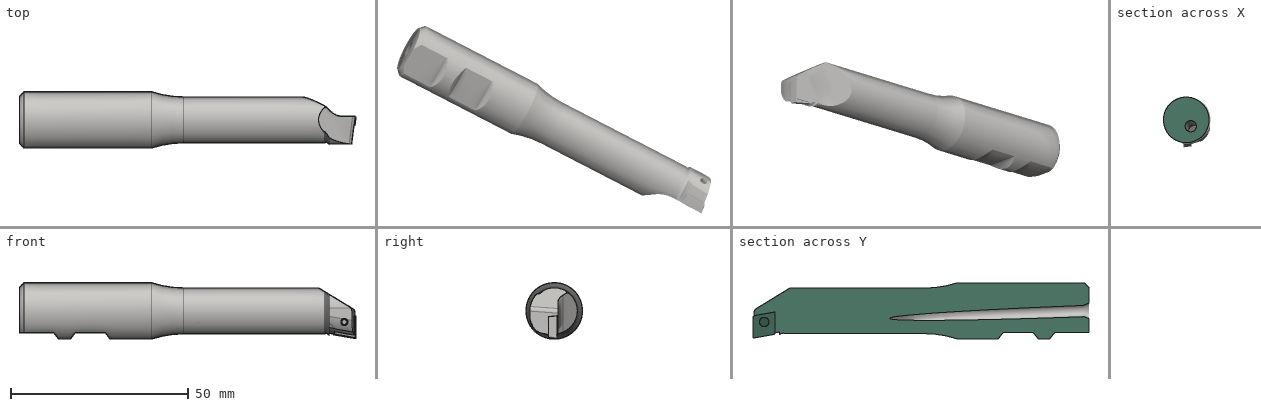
import cadquery as cq
import math


length = 95.0
shank_diameter = 16.0
shank_radius = shank_diameter / 2
shank_end = 37.2
end_chamfer = 1.3
neck_radius = 13.0 / 2
neck_start = 46.4

flat_z = -6.2
flat_ramp = 1.4
rear_flat_end = 9.7
front_flat_start = 15.8
front_flat_end = 24.2

bore_diameter = 3.0
mouth_diameter = 4.3
mouth_depth = 1.5
bore_end = cq.Vector(88.35, -2.4, -3.3)

relief_start = 86.2
relief_middle = 86.8
head_start = 87.4
relief_radius = 6.4
relief_middle_radius = 6.5
side_flat_y = -6.8
side_flat_depth = 0.05
head_radius = side_flat_depth - side_flat_y
flare_radius = 5.7
flare_x = 90.25
flare_y = -1.3
flare_z = -0.6
slope_start = 84.3
slope_angle = 31.5
nose_radius = 1.5
seat_margin = 0.3
underside_angle = 15.0

rake_y = 1.0
ramp_foot = 87.0
ramp_angle = 36.0
ramp_blend_radius = 6.2

insert_y = 0.8
insert_side = 6.5
insert_thickness = 2.4
insert_relief = 7.0
insert_corner_angle = 80.0
insert_tip_radius = 0.2
tip_z = -7.9
edge_tilt = 90 - insert_corner_angle

screw_x = 91.7
screw_z = -3.1
thread_diameter = 2.0
body_diameter = 2.5
head_diameter = 3.4
screw_end_y = -5.9
screw_end_chamfer = 0.3

clear = 19.0


def tan(angle):
    return math.tan(math.radians(angle))


def sin(angle):
    return math.sin(math.radians(angle))


def cos(angle):
    return math.cos(math.radians(angle))


def make_turned_blank():
    """Shank, concave transition, neck, relief and round head, turned about X."""
    drop = shank_radius - neck_radius
    run = neck_start - shank_end
    blend_radius = (run**2 + drop**2) / (2 * drop)
    mid_x = (shank_end + neck_start) / 2
    mid_radius = neck_radius + blend_radius - math.sqrt(blend_radius**2 - (run / 2)**2)
    return (
        cq.Workplane("XY")
        .lineTo(0, shank_radius - end_chamfer)
        .lineTo(end_chamfer, shank_radius)
        .lineTo(shank_end, shank_radius)
        .threePointArc((mid_x, mid_radius), (neck_start, neck_radius))
        .lineTo(relief_start, neck_radius)
        .lineTo(relief_start, relief_radius)
        .lineTo(relief_middle, relief_middle_radius)
        .lineTo(head_start, head_radius)
        .lineTo(length, head_radius)
        .lineTo(length, 0)
        .close()
        .revolve(360, (0, 0, 0), (1, 0, 0))
    )


def make_head_flare():
    """Round belly of the lower head, sinking toward the tip along the insert's lower edge."""
    axis = cq.Vector(cos(edge_tilt), 0, -sin(edge_tilt))
    start = cq.Vector(flare_x, flare_y, flare_z) - axis * clear
    belly = cq.Workplane(cq.Solid.makeCylinder(flare_radius, 2 * clear, start, axis))
    lower_head = cq.Workplane("XY").box(
        length - head_start, 2 * clear, clear, centered=(False, True, False)
    ).translate((head_start, 0, -clear))
    return belly.intersect(lower_head)


def make_head_envelope():
    """Everything behind the end face, under the slope and above the underside."""
    end_x = length - seat_margin
    end_z = neck_radius - (end_x - slope_start) * tan(slope_angle)
    top_x = slope_start - clear / tan(slope_angle)
    envelope = (
        cq.Workplane("XZ")
        .polyline([
            (-clear, -clear),
            (length + clear, -clear),
            (length + clear, end_z - clear * tan(slope_angle)),
            (top_x, neck_radius + clear),
            (-clear, neck_radius + clear),
        ])
        .close()
        .extrude(clear, both=True)
    )
    beyond_end = (
        cq.Workplane("XY")
        .box(clear * 2, clear * 4, clear * 4, centered=(False, True, True))
        .rotate((0, 0, 0), (0, 0, 1), -insert_relief)
        .translate((end_x, insert_y, 0))
    )
    envelope = envelope.cut(beyond_end)
    nose_edge = cq.selectors.NearestToPointSelector((end_x, insert_y, end_z))
    envelope = envelope.edges(nose_edge).fillet(nose_radius)
    below_head = (
        cq.Workplane("XY")
        .box(clear * 2, clear * 2, clear, centered=(True, True, False))
        .translate((0, 0, -clear))
        .rotate((0, 0, 0), (1, 0, 0), -underside_angle)
        .rotate((0, 0, 0), (0, 1, 0), edge_tilt)
        .translate((length, insert_y, tip_z + seat_margin))
    )
    underside_zone = (
        cq.Workplane("XY")
        .box(clear, clear * 2, clear * 2, centered=(False, True, True))
        .translate((head_start, 0, 0))
    )
    return envelope.cut(below_head.intersect(underside_zone))


def make_side_flat_cutter():
    """Material outside the head's upright flat on the -Y side."""
    return (
        cq.Workplane("XY")
        .box(clear, clear, 2 * clear, centered=(False, False, True))
        .translate((head_start, side_flat_y - clear, 0))
    )


def make_chip_pocket():
    """Pocket on the +Y side, square to the slope: a ramp blended into the rake floor."""
    plane = cq.Plane(
        origin=(0, 0, 0),
        xDir=(cos(slope_angle), 0, -sin(slope_angle)),
        normal=(sin(slope_angle), 0, cos(slope_angle)),
    )
    foot = ramp_foot * cos(slope_angle)
    back = foot - clear * cos(slope_angle) / tan(ramp_angle)
    pocket = (
        cq.Workplane(plane)
        .polyline([
            (foot, rake_y),
            (foot + clear, rake_y),
            (foot + clear, rake_y + clear),
            (back, rake_y + clear),
        ])
        .close()
        .extrude(5 * clear, both=True)
    )
    foot_edge = cq.selectors.NearestToPointSelector((ramp_foot, rake_y, 0))
    return pocket.edges(foot_edge).fillet(ramp_blend_radius)


def make_flat_pocket(start, end, start_ramp):
    """Clamping flat from start to end, with sloping end walls."""
    return (
        cq.Workplane("XZ")
        .polyline([
            (start, flat_z),
            (end, flat_z),
            (end + flat_ramp, -shank_radius),
            (start - start_ramp, -shank_radius),
        ])
        .close()
        .extrude(shank_radius, both=True)
    )


def make_bore_mouth():
    """Conical mouth of the coolant bore."""
    return cq.Workplane(cq.Solid.makeCone(
        mouth_diameter / 2, bore_diameter / 2, mouth_depth, cq.Vector(0, 0, 0), cq.Vector(1, 0, 0)
    ))


def make_coolant_bore():
    """Blind coolant bore from the rear face, slanting down and sideways into the head."""
    start = cq.Vector(0, 0, 0)
    path = bore_end - start
    return cq.Workplane(cq.Solid.makeCylinder(bore_diameter / 2, path.Length, start, path))


def make_insert_blank():
    """Rhombic plate with its rake face toward +Y and tapering flanks."""
    tip = (length, tip_z)
    across = (-insert_side * cos(edge_tilt), insert_side * sin(edge_tilt))
    plate = (
        cq.Workplane("XZ", origin=(0, insert_y, 0))
        .polyline([
            tip,
            (tip[0], tip[1] + insert_side),
            (tip[0] + across[0], tip[1] + insert_side + across[1]),
            (tip[0] + across[0], tip[1] + across[1]),
        ])
        .close()
        .extrude(insert_thickness, taper=insert_relief)
    )
    tip_edge = cq.selectors.NearestToPointSelector((length, insert_y - insert_thickness / 2, tip_z))
    return plate.edges(tip_edge).fillet(insert_tip_radius)


def make_screw():
    """Countersunk screw along Y, turned about its own axis."""
    thread_radius = thread_diameter / 2
    body_radius = body_diameter / 2
    head_radius_top = head_diameter / 2
    cone_depth = head_radius_top - body_radius
    seat_y = insert_y - insert_thickness
    return (
        cq.Workplane("XY", origin=(screw_x, 0, screw_z))
        .polyline([
            (0, screw_end_y),
            (thread_radius - screw_end_chamfer, screw_end_y),
            (thread_radius, screw_end_y + screw_end_chamfer),
            (thread_radius, seat_y),
            (body_radius, seat_y),
            (body_radius, insert_y - cone_depth),
            (head_radius_top, insert_y),
            (0, insert_y),
        ])
        .close()
        .revolve(360, (0, 0, 0), (0, 1, 0))
    )


def make_screw_hole():
    """Tapped hole from the insert seat out through the -Y side."""
    return (
        cq.Workplane("XZ", origin=(screw_x, 0, screw_z))
        .circle(thread_diameter / 2)
        .extrude(clear)
    )


insert_blank = make_insert_blank()
screw = make_screw()
insert = insert_blank.cut(screw)

bar = make_turned_blank().union(make_head_flare())
bar = bar.intersect(make_head_envelope())
bar = bar.cut(make_side_flat_cutter())
bar = bar.cut(make_chip_pocket())
bar = bar.cut(make_flat_pocket(0, rear_flat_end, 0))
bar = bar.cut(make_flat_pocket(front_flat_start, front_flat_end, flat_ramp))
bar = bar.cut(make_bore_mouth())
bar = bar.cut(make_coolant_bore())
bar = bar.cut(insert_blank)
bar = bar.cut(make_screw_hole())

result = cq.Compound.makeCompound([bar.val(), insert.val(), screw.val()])